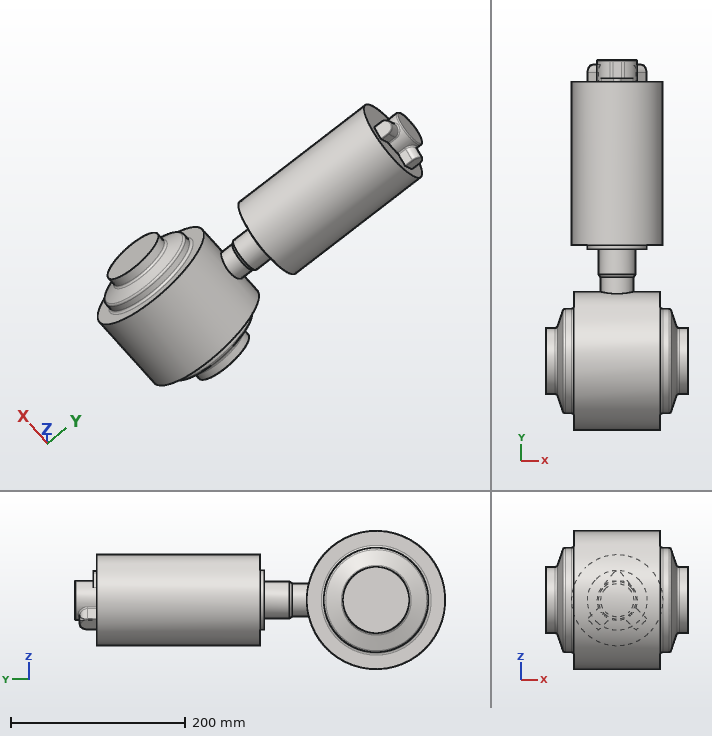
import cadquery as cq
import math

BODY_RADIUS = 79.5
BODY_HALF_WIDTH = 49.5
HUB_RADIUS = 60.0
HUB_CONE_X = 61.5
NECK_RADIUS = 38.0
NECK_CONE_X = 69.0
NECK_END_X = 81.5
BODY_BLEND_RADIUS = 3.0

CORNER_REACH = 1.0

STEM_RADIUS = 19.0
STEM_TAPER_START = 96.0
STEM_TAPER_END = 99.5
COLLAR_RADIUS = 21.5
FLANGE_RADIUS = 34.3
FLANGE_THICKNESS = 5.0
ACTUATOR_RADIUS = 52.3
ACTUATOR_START = 133.0
ACTUATOR_END = 320.5

BOSS_RADIUS = 23.0
BOSS_HEIGHT = 25.0
BOSS_FLAT_Z = 22.15
BOSS_FLAT_BLEND_RADIUS = 10.0
BOSS_END_FILLET = 1.5

PLATE_THICKNESS = 4.0
PLATE_TIP_RADIUS = 5.5
PLATE_TIP_CENTRE_Z = 28.0

ARM_LENGTH = 39.5
ARM_HALF_WIDTH = 9.0
ARM_HEIGHT = 19.6
ARM_ANGLE = 45.0
ARM_END_FILLET = 1.0
ARM_ROOT_FILLET = 1.8


def end_sketch():
    """Workplane on the actuator end: local x is X, local y is Z, and its normal is -Y."""
    plane = cq.Plane(origin=(0, ACTUATOR_END, 0), xDir=(1, 0, 0), normal=(0, -1, 0))
    return cq.Workplane(plane)


def valve_body():
    """Body with a hub, cone and neck on both sides, their corners blended."""
    right_profile = [
        (BODY_HALF_WIDTH, BODY_RADIUS),
        (BODY_HALF_WIDTH, HUB_RADIUS),
        (HUB_CONE_X, HUB_RADIUS),
        (NECK_CONE_X, NECK_RADIUS),
        (NECK_END_X, NECK_RADIUS),
        (NECK_END_X, 0),
    ]
    left_profile = [(-x, radius) for x, radius in reversed(right_profile)]
    body = (
        cq.Workplane("XY")
        .polyline(left_profile + right_profile)
        .close()
        .revolve(360, (0, 0, 0), (1, 0, 0))
    )
    for side in (-1, 1):
        for x, radius in right_profile[1:4]:
            corner = cq.selectors.BoxSelector(
                (side * x - CORNER_REACH, -radius - CORNER_REACH, -radius - CORNER_REACH),
                (side * x + CORNER_REACH, radius + CORNER_REACH, radius + CORNER_REACH),
                boundingbox=True,
            )
            body = body.edges(corner).edges("%CIRCLE").fillet(BODY_BLEND_RADIUS)
    return body


def drive_line():
    """Stem, collar, flange and actuator in one turning."""
    flange_start = ACTUATOR_START - FLANGE_THICKNESS
    return (
        cq.Workplane("XY")
        .moveTo(0, 0)
        .lineTo(STEM_RADIUS, 0)
        .lineTo(STEM_RADIUS, STEM_TAPER_START)
        .lineTo(COLLAR_RADIUS, STEM_TAPER_END)
        .lineTo(COLLAR_RADIUS, flange_start)
        .lineTo(FLANGE_RADIUS, flange_start)
        .lineTo(FLANGE_RADIUS, ACTUATOR_START)
        .lineTo(ACTUATOR_RADIUS, ACTUATOR_START)
        .lineTo(ACTUATOR_RADIUS, ACTUATOR_END)
        .lineTo(0, ACTUATOR_END)
        .close()
        .revolve(360, (0, 0, 0), (0, 1, 0))
    )


def boss():
    """Round boss with a flat on its +Z side, blended into the cylinder."""
    blend_centre_distance = BOSS_RADIUS - BOSS_FLAT_BLEND_RADIUS
    blend_centre_z = BOSS_FLAT_Z - BOSS_FLAT_BLEND_RADIUS
    flat_half = math.sqrt(blend_centre_distance**2 - blend_centre_z**2)
    scale_to_rim = BOSS_RADIUS / blend_centre_distance
    rim_x = flat_half * scale_to_rim
    rim_z = blend_centre_z * scale_to_rim
    return (
        end_sketch()
        .moveTo(-flat_half, BOSS_FLAT_Z)
        .lineTo(flat_half, BOSS_FLAT_Z)
        .radiusArc((rim_x, rim_z), BOSS_FLAT_BLEND_RADIUS)
        .threePointArc((0, -BOSS_RADIUS), (-rim_x, rim_z))
        .radiusArc((-flat_half, BOSS_FLAT_Z), BOSS_FLAT_BLEND_RADIUS)
        .close()
        .extrude(-BOSS_HEIGHT)
        .faces(">Y")
        .edges()
        .fillet(BOSS_END_FILLET)
    )


def teardrop_plate():
    """Plate whose straight flanks are tangent to the boss and to a small round tip."""
    sine = (BOSS_RADIUS - PLATE_TIP_RADIUS) / PLATE_TIP_CENTRE_Z
    cosine = math.sqrt(1 - sine**2)
    root_x = BOSS_RADIUS * cosine
    root_z = BOSS_RADIUS * sine
    tip_x = PLATE_TIP_RADIUS * cosine
    tip_z = PLATE_TIP_CENTRE_Z + PLATE_TIP_RADIUS * sine
    return (
        end_sketch()
        .moveTo(0, 0)
        .lineTo(root_x, root_z)
        .lineTo(tip_x, tip_z)
        .threePointArc((0, PLATE_TIP_CENTRE_Z + PLATE_TIP_RADIUS), (-tip_x, tip_z))
        .lineTo(-root_x, root_z)
        .close()
        .extrude(-PLATE_THICKNESS)
    )


def arm(angle):
    """Arch-section arm along +X, turned by the given angle about the Y axis."""
    shoulder = ARM_HEIGHT - ARM_HALF_WIDTH
    arch = (
        cq.Workplane("YZ")
        .moveTo(0, -ARM_HALF_WIDTH)
        .lineTo(shoulder, -ARM_HALF_WIDTH)
        .threePointArc((ARM_HEIGHT, 0), (shoulder, ARM_HALF_WIDTH))
        .lineTo(0, ARM_HALF_WIDTH)
        .close()
        .extrude(ARM_LENGTH)
    )
    arch = arch.faces(">X").edges("not <Y").fillet(ARM_END_FILLET)
    return arch.rotate((0, 0, 0), (0, 1, 0), angle).translate((0, ACTUATOR_END, 0))


def connection_head():
    """Boss with its two arms, rounded where they meet, and the teardrop plate."""
    head = boss()
    for angle in (ARM_ANGLE, 180 - ARM_ANGLE):
        head = head.union(arm(angle))
    roots = cq.selectors.BoxSelector(
        (-BOSS_RADIUS, ACTUATOR_END + CORNER_REACH, -BOSS_RADIUS),
        (BOSS_RADIUS, ACTUATOR_END + ARM_HEIGHT, 0),
    )
    head = head.edges(roots).fillet(ARM_ROOT_FILLET)
    return head.union(teardrop_plate())


result = valve_body().union(drive_line()).union(connection_head())